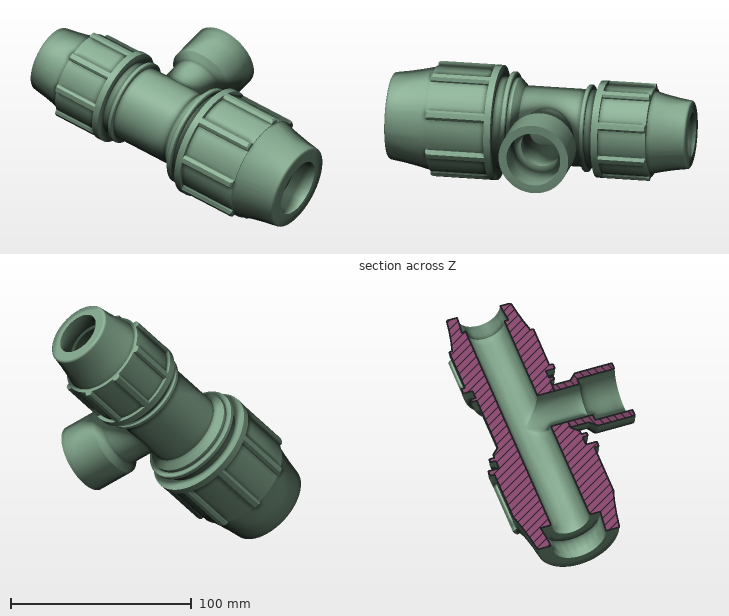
import cadquery as cq

run_bore_diameter = 22.5
small_neck_diameter = 43.2
large_neck_diameter = 51.2
small_nut_face_x = -26.1
large_nut_face_x = 29.75
reducer_start_x = 15.9
reducer_length = (large_neck_diameter - small_neck_diameter) / 2

small_collar_diameter = 48.6
small_collar_start_x = -21.2
small_collar_width = 2.3
large_collar_diameter = 57.6
large_collar_start_x = 22.0
large_collar_width = 2.6
collar_chamfer = 0.4

branch_reach = 58.0
branch_neck_diameter = 31.59
branch_head_diameter = 39.38
branch_socket_diameter = 30.29
branch_head_start = 36.1
branch_cone_length = (branch_head_diameter - branch_neck_diameter) / 2

flange_width = 3.7
nose_rounding = 1.4
nose_sag = 0.4
socket_flare = 1.088
rib_count = 8
rib_half_top = 1.4
rib_side_height = 0.9
panel_cutter_margin = 1.0
rib_foot_depth = 1.0

small_nut = dict(
    rim_radius=27.0,
    panel_radius=24.85,
    grip_length=30.6,
    total_length=51.8,
    rib_half_base=2.3,
    nose_base_radius=23.0,
    nose_end_radius=18.95,
    bevel_start_radius=23.0,
    bevel_length=0.7,
    socket_diameter=25.0,
    socket_depth=10.8,
)
large_nut = dict(
    rim_radius=32.0,
    panel_radius=29.45,
    grip_length=37.05,
    total_length=61.35,
    rib_half_base=2.65,
    nose_base_radius=28.9,
    nose_end_radius=24.1,
    bevel_start_radius=31.2,
    bevel_length=1.0,
    socket_diameter=32.0,
    socket_depth=13.8,
)


def rod(diameter, start_x, length):
    """Cylinder on the X axis."""
    return cq.Workplane("YZ").workplane(offset=start_x).circle(diameter / 2).extrude(length)


def collar(diameter, start_x, width):
    """Ring around the run with both rims chamfered."""
    return rod(diameter, start_x, width).edges().chamfer(collar_chamfer)


def nut_envelope(nut):
    """Turned outside of a nut at full rib height, from its flange face out to its nose."""
    grip = nut["grip_length"]
    end = nut["total_length"]
    base_radius = nut["nose_base_radius"]
    end_radius = nut["nose_end_radius"]
    flank_middle = ((grip + end) / 2, (base_radius + end_radius) / 2 - nose_sag)
    profile = (
        cq.Workplane("XY")
        .lineTo(0, nut["rim_radius"])
        .lineTo(grip - nut["bevel_length"], nut["rim_radius"])
        .lineTo(grip, nut["bevel_start_radius"])
    )
    if nut["bevel_start_radius"] > base_radius:
        profile = profile.lineTo(grip, base_radius)
    profile = (
        profile.threePointArc(flank_middle, (end, end_radius))
        .lineTo(end, 0)
        .close()
    )
    return profile.revolve(360, (0, 0, 0), (1, 0, 0)).faces(">X").edges().fillet(nose_rounding)


def rib_prisms(nut):
    """Bars that mark where the grip ribs stay: straight sides that slope in to a narrow top."""
    rim_radius = nut["rim_radius"]
    half_base = nut["rib_half_base"]
    foot_radius = nut["panel_radius"] - rib_foot_depth
    shoulder_radius = nut["panel_radius"] + rib_side_height
    bar = (
        cq.Workplane("YZ")
        .polyline([
            (-half_base, foot_radius),
            (half_base, foot_radius),
            (half_base, shoulder_radius),
            (rib_half_top, rim_radius),
            (rib_half_top, rim_radius + panel_cutter_margin),
            (-rib_half_top, rim_radius + panel_cutter_margin),
            (-rib_half_top, rim_radius),
            (-half_base, shoulder_radius),
        ])
        .close()
        .extrude(nut["grip_length"])
        .val()
    )
    pitch = 360 / rib_count
    return [bar.rotate((0, 0, 0), (1, 0, 0), (index + 0.5) * pitch) for index in range(rib_count)]


def pipe_socket(nut):
    """Cone that opens from the mouth of the nut to the stop at its inner end."""
    mouth_radius = nut["socket_diameter"] / 2
    depth = nut["socket_depth"]
    stop_x = nut["total_length"] - depth
    return cq.Workplane(
        cq.Solid.makeCone(
            mouth_radius * socket_flare, mouth_radius, depth, cq.Vector(stop_x, 0, 0), cq.Vector(1, 0, 0)
        )
    )


def make_nut(nut):
    """Nut with its flange face on X = 0 and its nose towards +X."""
    panels = (
        cq.Workplane("YZ")
        .workplane(offset=flange_width)
        .circle(nut["rim_radius"] + panel_cutter_margin)
        .circle(nut["panel_radius"])
        .extrude(nut["grip_length"] - flange_width)
    )
    for bar in rib_prisms(nut):
        panels = panels.cut(cq.Workplane(bar))
    bore = rod(run_bore_diameter, 0, nut["total_length"])
    return nut_envelope(nut).cut(panels).cut(bore).cut(pipe_socket(nut))


def make_branch():
    """Turned outside of the branch, from the run axis to its open end."""
    neck_radius = branch_neck_diameter / 2
    head_radius = branch_head_diameter / 2
    return (
        cq.Workplane("XY")
        .lineTo(neck_radius, 0)
        .lineTo(neck_radius, branch_head_start - branch_cone_length)
        .lineTo(head_radius, branch_head_start)
        .lineTo(head_radius, branch_reach)
        .lineTo(0, branch_reach)
        .close()
        .revolve(360, (0, 0, 0), (0, 1, 0))
    )


def make_run():
    """Turned outside of the run between the two nuts, with its collars."""
    small_radius = small_neck_diameter / 2
    large_radius = large_neck_diameter / 2
    necks = (
        cq.Workplane("XY")
        .moveTo(small_nut_face_x, 0)
        .lineTo(small_nut_face_x, small_radius)
        .lineTo(reducer_start_x, small_radius)
        .lineTo(reducer_start_x + reducer_length, large_radius)
        .lineTo(large_nut_face_x, large_radius)
        .lineTo(large_nut_face_x, 0)
        .close()
        .revolve(360, (0, 0, 0), (1, 0, 0))
    )
    small_collar = collar(small_collar_diameter, small_collar_start_x, small_collar_width)
    large_collar = collar(large_collar_diameter, large_collar_start_x, large_collar_width)
    return necks.union(small_collar).union(large_collar)


def branch_hole(diameter, start_y):
    """Hole along the branch axis, from start_y to the open end."""
    return (
        cq.Workplane("XZ")
        .workplane(offset=-branch_reach)
        .circle(diameter / 2)
        .extrude(branch_reach - start_y)
    )


small_end = make_nut(small_nut).rotate((0, 0, 0), (0, 0, 1), 180).translate((small_nut_face_x, 0, 0))
large_end = make_nut(large_nut).translate((large_nut_face_x, 0, 0))
run_outside = make_run()
run_bore = rod(run_bore_diameter, small_nut_face_x, large_nut_face_x - small_nut_face_x)
port = branch_hole(run_bore_diameter, 0)
run = run_outside.cut(run_bore).cut(port).union(small_end).union(large_end)

branch = (
    make_branch()
    .cut(run_outside)
    .cut(port)
    .cut(branch_hole(branch_socket_diameter, branch_head_start))
)

result = cq.Compound.makeCompound([run.val(), branch.val()])